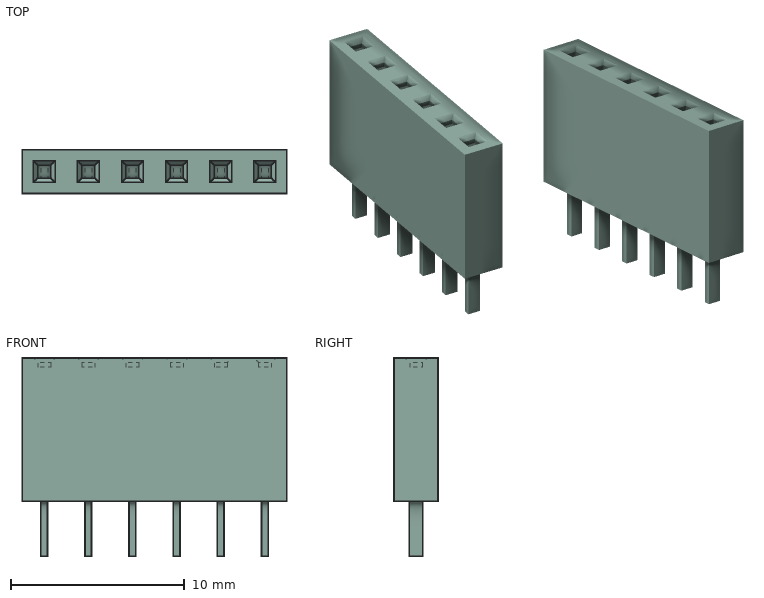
import cadquery as cq

contact_count = 6
housing_length = 15.24
pitch = housing_length / contact_count
housing_width = pitch
overall_height = 11.43
housing_height = 8.26

mouth_side = 1.25
well_side = 0.75
lead_in_depth = (mouth_side - well_side) / 2
well_depth = 0.27

pin_thickness = 0.4
pin_width = 2 * pin_thickness
pin_length = overall_height - housing_height

contact_positions = [(i - (contact_count - 1) / 2) * pitch for i in range(contact_count)]


def make_socket(x):
    """Volume removed from the top of the housing at one contact."""
    lead_in = (
        cq.Workplane("XY", origin=(x, 0, housing_height))
        .rect(mouth_side, mouth_side)
        .workplane(offset=-lead_in_depth)
        .rect(well_side, well_side)
        .loft(ruled=True)
    )
    well = (
        cq.Workplane("XY", origin=(x, 0, housing_height - lead_in_depth))
        .rect(well_side, well_side)
        .extrude(-well_depth)
    )
    return lead_in.union(well)


def make_housing():
    """Rectangular block with a row of sockets in its top face."""
    block = cq.Workplane("XY").rect(housing_length, housing_width).extrude(housing_height)
    for x in contact_positions:
        block = block.cut(make_socket(x))
    return block


def make_pin(x):
    """Flat pin that butts against the bottom face of the housing."""
    return cq.Workplane("XY", origin=(x, 0, 0)).rect(pin_thickness, pin_width).extrude(-pin_length)


housing = make_housing()
pins = [make_pin(x) for x in contact_positions]

result = cq.Compound.makeCompound([housing.val(), *[pin.val() for pin in pins]])